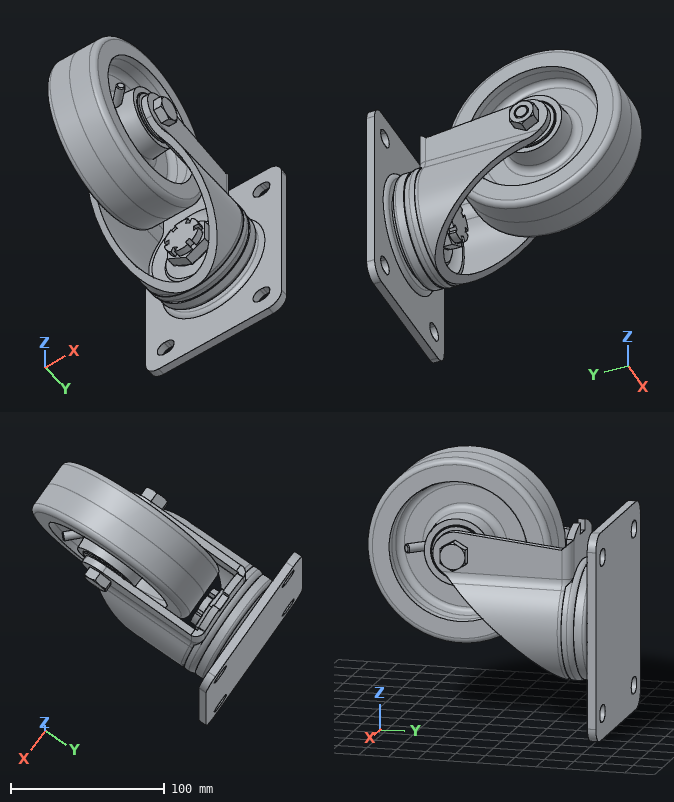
import cadquery as cq
import math


PLATE_WIDTH = 110.0
PLATE_HEIGHT = 140.2
PLATE_THICKNESS = 5.9
PLATE_CORNER_RADIUS = 10.6
SLOT_LENGTH = 13.5
SLOT_WIDTH = 11.2
SLOT_SPACING_X = 77.4
SLOT_SPACING_Z = 105.0

FLANGE_BASE_RADIUS = 41.5
FLANGE_MID_RADIUS = 40.5
FLANGE_MID_DEPTH = 7.1
FLANGE_TOP_RADIUS = 76.0 / 2
FLANGE_DEPTH = 8.3

KINGPIN_DIAMETER = 20.0
KING_NUT_FLATS = 30.2
KING_NUT_HEX_DEPTH = 36.4
KING_NUT_END_DEPTH = 41.5
CROWN_DIAMETER = 27.7
CROWN_SLOT_WIDTH = 3.5
CROWN_SLOT_COUNT = 6

NECK_START_RADIUS = 33.0
NECK_END_RADIUS = 35.5
RING_START_DEPTH = 11.4
RING_RADIUS = 79.0 / 2
RING_EDGE_RADIUS = 2.3
RING_END_DEPTH = 19.5
HEAD_START_RADIUS = 38.3
HEAD_MID_RADIUS = 39.8
HEAD_MID_DEPTH = 21.3

SHEET = 5.0
FORK_DEPTH = 24.0
FORK_FLOOR_DEPTH = FORK_DEPTH + SHEET
CUP_RADIUS = 40.5
ARM_OUTER_X = 28.4
ARM_BLEND_RADIUS = 10.6
BEND_RADIUS = 6.2
ARM_END_RADIUS = 15.0
ARM_TOP_DEPTH = 30.7
ARM_TOP_Z = 52.7
BEND_TOP_Z = 58.5
CUP_CUT_DEPTH = 27.7

TAB_HALF_WIDTH = 22.0
TAB_TOP_Z = 66.4
TAB_SIDE_Z = 58.5
NOTCH_WIDTH = 11.0
NOTCH_DEPTH = 8.0

BOWL_RIM_RADIUS = 65.9 / 2
BOWL_FLOOR_DEPTH = 24.5
SEAT_BASE_RADIUS = 51.0 / 2
SEAT_EDGE_RADIUS = 23.8
SEAT_EDGE_DEPTH = 26.0
SEAT_TOP_RADIUS = 16.0

WHEEL_RADIUS = 125.0 / 2
WHEEL_DEPTH = 165.0 - WHEEL_RADIUS
WHEEL_Z = 177.5 - PLATE_HEIGHT / 2 - WHEEL_RADIUS
TREAD_HALF_WIDTH = 19.9
TREAD_EDGE_RADIUS = 4.0
RIM_RADIUS = 94.0 / 2
RIM_STEP_X = 15.3
RIM_INNER_RADIUS = 46.5
RIM_BASE_RADIUS = 45.8
RIM_FILLET = 4.6
WEB_HALF_WIDTH = 3.5
HUB_HALF_WIDTH = 22.4
HUB_END_RADIUS = 22.5
HUB_BASE_RADIUS = 23.6
HUB_FILLET = 5.1
BUSH_HALF_WIDTH = 23.0
BUSH_RADIUS = 35.0 / 2
BUSH_GROOVE_RADIUS = 18.3
BUSH_GROOVE_X = 21.7

NIPPLE_DIAMETER = 6.0
NIPPLE_END_X = 21.3
NIPPLE_END_RADIUS = 35.0
NIPPLE_LENGTH = 17.8
NIPPLE_CHAMFER = 0.7

BOLT_DIAMETER = 10.0
HEX_FLATS = 17.0
NUT_END_X = -36.7
HEAD_END_X = 35.1
BOLT_TIP_CHAMFER = 0.9
HEX_CHAMFER_SLOPE = math.tan(math.radians(30))


def ring_about_swivel(profile):
    """Revolve a closed (radius, -depth) profile about the swivel axis."""
    return profile.close().revolve(360, (0, 0), (0, 1))


def front_plane(depth):
    """Work plane facing -Y at the given depth, with X and Z as its axes."""
    return cq.Workplane("XZ", origin=(0, -depth, 0))


def axle_plane(x):
    """Work plane facing +X, centred on the axle."""
    return cq.Workplane("YZ", origin=(x, -WHEEL_DEPTH, WHEEL_Z))


def fillet_arc_middle(start, end, centre):
    """Middle of the short arc from start to end around centre."""
    radius = math.dist(start, centre)
    along = ((start[0] + end[0]) / 2 - centre[0], (start[1] + end[1]) / 2 - centre[1])
    length = math.hypot(*along)
    return (centre[0] + radius * along[0] / length, centre[1] + radius * along[1] / length)


def tangent_point(point, centre, radius, side):
    """Touching point of a line from point to a circle, on its side +1 or -1."""
    to_point = math.atan2(point[1] - centre[1], point[0] - centre[0])
    swing = side * math.acos(radius / math.dist(point, centre))
    return (
        centre[0] + radius * math.cos(to_point + swing),
        centre[1] + radius * math.sin(to_point + swing),
    )


def make_mounting_plate():
    plate = (
        front_plane(0)
        .rect(PLATE_WIDTH, PLATE_HEIGHT)
        .extrude(PLATE_THICKNESS)
        .edges("|Y")
        .fillet(PLATE_CORNER_RADIUS)
    )
    slots = (
        front_plane(0)
        .rect(SLOT_SPACING_X, SLOT_SPACING_Z, forConstruction=True)
        .vertices()
        .slot2D(SLOT_LENGTH, SLOT_WIDTH)
        .extrude(PLATE_THICKNESS)
    )
    flange = ring_about_swivel(
        cq.Workplane("XY")
        .moveTo(0, -PLATE_THICKNESS)
        .lineTo(FLANGE_BASE_RADIUS, -PLATE_THICKNESS)
        .threePointArc((FLANGE_MID_RADIUS, -FLANGE_MID_DEPTH), (FLANGE_TOP_RADIUS, -FLANGE_DEPTH))
        .lineTo(0, -FLANGE_DEPTH)
    )
    return plate.cut(slots).union(flange).union(make_kingpin())


def make_kingpin():
    pin = front_plane(FLANGE_DEPTH).circle(KINGPIN_DIAMETER / 2)
    pin = pin.extrude(KING_NUT_END_DEPTH - FLANGE_DEPTH)
    corners = KING_NUT_FLATS / math.cos(math.pi / 6)
    hexagon = front_plane(FORK_FLOOR_DEPTH).transformed(rotate=(0, 0, 90))
    hexagon = hexagon.polygon(6, corners).extrude(KING_NUT_HEX_DEPTH - FORK_FLOOR_DEPTH)
    crown_height = KING_NUT_END_DEPTH - KING_NUT_HEX_DEPTH
    crown = front_plane(KING_NUT_HEX_DEPTH).circle(CROWN_DIAMETER / 2).extrude(crown_height)
    slots = (
        front_plane(KING_NUT_HEX_DEPTH)
        .polarArray(CROWN_DIAMETER / 2, 0, 360, CROWN_SLOT_COUNT)
        .rect(CROWN_DIAMETER - KINGPIN_DIAMETER, CROWN_SLOT_WIDTH)
        .extrude(crown_height)
    )
    return hexagon.union(crown.cut(slots)).union(pin)


def keyhole(depth, length, cup_radius, arm_x, blend_radius, top_z):
    """Round cup that opens upward between two straight arms, joined by tangent blends."""
    blend_x = arm_x + blend_radius
    blend_z = math.sqrt((cup_radius + blend_radius) ** 2 - blend_x**2)
    share = cup_radius / (cup_radius + blend_radius)
    arm_end = (arm_x, blend_z)
    cup_end = (blend_x * share, blend_z * share)
    middle = fillet_arc_middle(arm_end, cup_end, (blend_x, blend_z))
    return (
        front_plane(depth)
        .moveTo(arm_x, top_z)
        .lineTo(*arm_end)
        .threePointArc(middle, cup_end)
        .threePointArc((0, -cup_radius), (-cup_end[0], cup_end[1]))
        .threePointArc((-middle[0], middle[1]), (-arm_end[0], arm_end[1]))
        .lineTo(-arm_x, top_z)
        .close()
        .extrude(length)
    )


def fork_side_outline():
    """Prism along X with the side outline of the arms, round about the axle."""
    axle = (-WHEEL_DEPTH, WHEEL_Z)
    arm_top = (-ARM_TOP_DEPTH, ARM_TOP_Z)
    cup_bottom = (-CUP_CUT_DEPTH, -CUP_RADIUS)
    upper = tangent_point(arm_top, axle, ARM_END_RADIUS, 1)
    lower = tangent_point(cup_bottom, axle, ARM_END_RADIUS, -1)
    return (
        cq.Workplane("YZ", origin=(-CUP_RADIUS, 0, 0))
        .moveTo(-FORK_DEPTH, BEND_TOP_Z)
        .lineTo(*arm_top)
        .lineTo(*upper)
        .threePointArc((axle[0] - ARM_END_RADIUS, axle[1]), lower)
        .lineTo(*cup_bottom)
        .lineTo(-FORK_DEPTH, -CUP_RADIUS)
        .close()
        .extrude(2 * CUP_RADIUS)
    )


def make_swivel_head():
    """Solid neck, seal ring and rounded head that carry the fork sheet."""
    return ring_about_swivel(
        cq.Workplane("XY")
        .moveTo(0, -FLANGE_DEPTH)
        .lineTo(NECK_START_RADIUS, -FLANGE_DEPTH)
        .lineTo(NECK_END_RADIUS, -RING_START_DEPTH)
        .lineTo(RING_RADIUS - RING_EDGE_RADIUS, -RING_START_DEPTH)
        .radiusArc((RING_RADIUS, -RING_START_DEPTH - RING_EDGE_RADIUS), RING_EDGE_RADIUS)
        .lineTo(RING_RADIUS, -RING_END_DEPTH)
        .lineTo(HEAD_START_RADIUS, -RING_END_DEPTH)
        .threePointArc((HEAD_MID_RADIUS, -HEAD_MID_DEPTH), (CUP_RADIUS, -FORK_DEPTH))
        .lineTo(CUP_RADIUS, -CUP_CUT_DEPTH)
        .lineTo(0, -FORK_FLOOR_DEPTH)
    )


def make_stop_tab():
    tab = (
        front_plane(FORK_DEPTH)
        .moveTo(-TAB_HALF_WIDTH, 0)
        .lineTo(-TAB_HALF_WIDTH, TAB_SIDE_Z)
        .threePointArc((0, TAB_TOP_Z), (TAB_HALF_WIDTH, TAB_SIDE_Z))
        .lineTo(TAB_HALF_WIDTH, 0)
        .close()
        .extrude(SHEET)
    )
    notch = front_plane(FORK_DEPTH).center(0, TAB_TOP_Z).rect(NOTCH_WIDTH, 2 * NOTCH_DEPTH)
    return tab.cut(notch.extrude(SHEET))


def bowl_cut():
    """Annular hollow between the bowl rim and the domed nut seat."""
    return ring_about_swivel(
        cq.Workplane("XY")
        .moveTo(BOWL_RIM_RADIUS, -FORK_FLOOR_DEPTH)
        .radiusArc((SEAT_BASE_RADIUS, -BOWL_FLOOR_DEPTH), -2 * (BOWL_RIM_RADIUS - SEAT_BASE_RADIUS))
        .lineTo(SEAT_EDGE_RADIUS, -SEAT_EDGE_DEPTH)
        .lineTo(SEAT_TOP_RADIUS, -FORK_FLOOR_DEPTH)
    )


def make_fork():
    length = WHEEL_DEPTH + ARM_END_RADIUS - FORK_DEPTH
    sheet = keyhole(FORK_DEPTH, length, CUP_RADIUS, ARM_OUTER_X, ARM_BLEND_RADIUS, TAB_TOP_Z)
    rim = sheet.faces(">Y").edges("not >Z")
    sheet = rim.fillet(BEND_RADIUS)
    sheet = sheet.intersect(fork_side_outline())
    inside = keyhole(
        FORK_FLOOR_DEPTH,
        length,
        CUP_RADIUS - SHEET,
        ARM_OUTER_X - SHEET,
        ARM_BLEND_RADIUS + SHEET,
        TAB_TOP_Z,
    )
    fork = sheet.union(make_swivel_head()).union(make_stop_tab())
    fork = fork.cut(inside).cut(bowl_cut())
    kingpin_hole = front_plane(0).circle(KINGPIN_DIAMETER / 2).extrude(FORK_FLOOR_DEPTH)
    axle_hole = axle_plane(-ARM_OUTER_X).circle(BOLT_DIAMETER / 2).extrude(2 * ARM_OUTER_X)
    return fork.cut(kingpin_hole).cut(axle_hole)


def make_wheel_half():
    """The +X half of the wheel, revolved about the axle."""
    hub_fillet_x = WEB_HALF_WIDTH + HUB_FILLET
    rim_fillet_x = WEB_HALF_WIDTH + RIM_FILLET
    return (
        cq.Workplane("XY", origin=(0, -WHEEL_DEPTH, WHEEL_Z))
        .moveTo(0, BOLT_DIAMETER / 2)
        .lineTo(BUSH_HALF_WIDTH, BOLT_DIAMETER / 2)
        .lineTo(BUSH_HALF_WIDTH, BUSH_RADIUS)
        .lineTo(BUSH_GROOVE_X, BUSH_RADIUS)
        .lineTo(BUSH_GROOVE_X, BUSH_GROOVE_RADIUS)
        .lineTo(HUB_HALF_WIDTH, BUSH_GROOVE_RADIUS)
        .lineTo(HUB_HALF_WIDTH, HUB_END_RADIUS)
        .lineTo(hub_fillet_x, HUB_BASE_RADIUS)
        .radiusArc((WEB_HALF_WIDTH, HUB_BASE_RADIUS + HUB_FILLET), HUB_FILLET)
        .lineTo(WEB_HALF_WIDTH, RIM_BASE_RADIUS - RIM_FILLET)
        .radiusArc((rim_fillet_x, RIM_BASE_RADIUS), RIM_FILLET)
        .lineTo(RIM_STEP_X, RIM_INNER_RADIUS)
        .lineTo(TREAD_HALF_WIDTH, RIM_RADIUS)
        .lineTo(TREAD_HALF_WIDTH, WHEEL_RADIUS - TREAD_EDGE_RADIUS)
        .radiusArc((TREAD_HALF_WIDTH - TREAD_EDGE_RADIUS, WHEEL_RADIUS), -TREAD_EDGE_RADIUS)
        .lineTo(0, WHEEL_RADIUS)
        .close()
        .revolve(360, (0, 0), (1, 0))
    )


def make_grease_nipple():
    end = cq.Vector(NIPPLE_END_X, -WHEEL_DEPTH - NIPPLE_END_RADIUS, WHEEL_Z)
    inward = cq.Vector(-1, 1, 0)
    plane = cq.Plane(origin=end, xDir=(0, 0, 1), normal=inward)
    nipple = cq.Workplane(plane).circle(NIPPLE_DIAMETER / 2).extrude(NIPPLE_LENGTH)
    return nipple.faces(cq.selectors.DirectionMinMaxSelector(inward, False)).chamfer(NIPPLE_CHAMFER)


def make_wheel():
    half = make_wheel_half()
    return half.union(half.mirror("YZ")).union(make_grease_nipple())


def make_hexagon(inner_x, outer_x):
    """Hexagon with corners up and down, its outer face chamfered to a circle."""
    thickness = outer_x - inner_x
    corners = HEX_FLATS / math.cos(math.pi / 6)
    block = axle_plane(inner_x).transformed(rotate=(0, 0, 90)).polygon(6, corners).extrude(thickness)
    cone_radius = HEX_FLATS / 2 + abs(thickness) / HEX_CHAMFER_SLOPE
    cone = (
        cq.Workplane("XY", origin=(0, -WHEEL_DEPTH, WHEEL_Z))
        .moveTo(inner_x, 0)
        .lineTo(inner_x, cone_radius)
        .lineTo(outer_x, HEX_FLATS / 2)
        .lineTo(outer_x, 0)
        .close()
        .revolve(360, (0, 0), (1, 0))
    )
    return block.intersect(cone)


def make_axle():
    shank = axle_plane(NUT_END_X).circle(BOLT_DIAMETER / 2).extrude(HEAD_END_X - NUT_END_X)
    shank = shank.faces("<X").chamfer(BOLT_TIP_CHAMFER)
    nut_bore = axle_plane(NUT_END_X).circle(BOLT_DIAMETER / 2).extrude(-NUT_END_X - ARM_OUTER_X)
    nut = make_hexagon(-ARM_OUTER_X, NUT_END_X).cut(nut_bore)
    head = make_hexagon(ARM_OUTER_X, HEAD_END_X)
    return shank.union(nut).union(head)


mounting_plate = make_mounting_plate()
fork = make_fork()
wheel = make_wheel()
axle = make_axle()

result = cq.Compound.makeCompound(
    [mounting_plate.val(), fork.val(), wheel.val(), axle.val()]
)